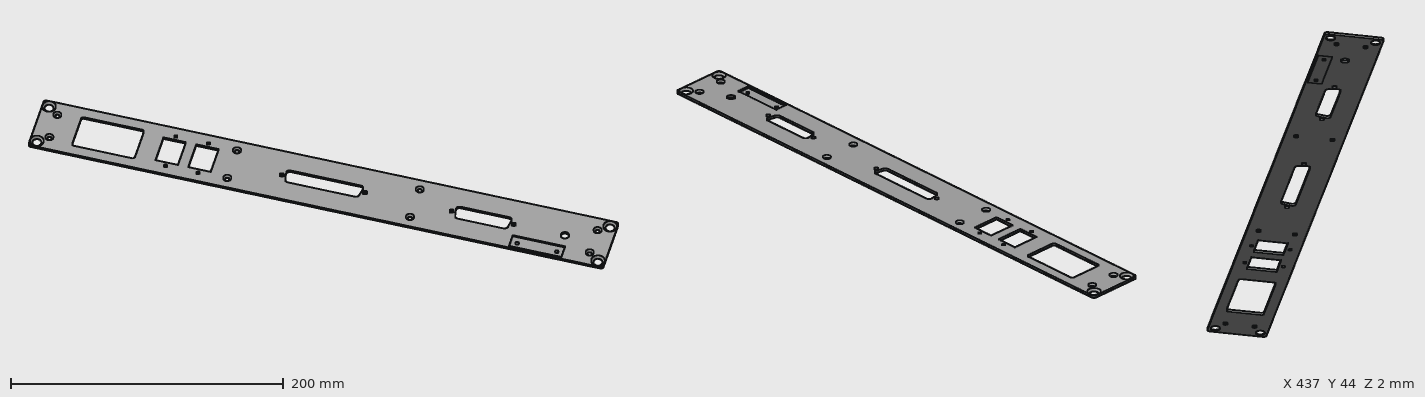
import cadquery as cq
import math

LENGTH = 437.0
WIDTH = 44.0
THICKNESS = 2.0
CORNER_RADIUS = 2.0

CORNER_SINK_DIAMETER = 10.0
CORNER_HOLE_DIAMETER = 6.5
CORNER_INSET = 5.2
CORNER_X = LENGTH / 2 - CORNER_INSET
CORNER_Y = WIDTH / 2 - CORNER_INSET

SCREW_SINK_DIAMETER = 6.0
SCREW_HOLE_DIAMETER = 3.2
END_SCREW_X = 205.5
END_SCREW_Y = 11.0
INNER_SCREW_X = 69.5
INNER_SCREW_Y = 13.5
SINK_ANGLE = 90.0

INLET_LENGTH = 47.5
INLET_WIDTH = 28.0
INLET_X = -164.0
INLET_CORNER_RADIUS = 1.7

SOCKET_LENGTH = 17.0
SOCKET_WIDTH = 22.5
SOCKET_CENTRES_X = (-116.2, -91.5)
SOCKET_SCREW_Y = 14.5
SMALL_HOLE_DIAMETER = 2.45

CONNECTOR_WIDTH = 11.5
CONNECTOR_SIDE_ANGLE = 10.0
CONNECTOR_CORNER_RADIUS = 2.5
CONNECTOR_SCREW_CLEARANCE = 4.0
LONG_CONNECTOR_X = 0.0
LONG_CONNECTOR_SCREW_SPACING = 63.5
SHORT_CONNECTOR_X = 121.0
SHORT_CONNECTOR_SCREW_SPACING = 47.0

LAMP_HOLE_DIAMETER = 6.0
LAMP_HOLE_X = 183.5

RECESS_LENGTH = 39.8
RECESS_WIDTH = 10.5
RECESS_DEPTH = 1.55
RECESS_X = 166.5
RECESS_Y = -15.5
RECESS_SCREW_SPACING = 30.0


def mirrored(x, y):
    """The four points that mirror (x, y) about both plan axes."""
    return [(sx * x, sy * y) for sx in (-1, 1) for sy in (-1, 1)]


def top_face(plate):
    """A work plane on the upper face with its origin over the plate centre."""
    return plate.faces(">Z").workplane(origin=(0, 0, THICKNESS))


def drill(plate, points, diameter):
    return top_face(plate).pushPoints(points).hole(diameter)


def countersink(plate, points, diameter, sink_diameter):
    return top_face(plate).pushPoints(points).cskHole(diameter, sink_diameter, SINK_ANGLE)


def cut_rectangle(plate, x, length, width, corner_radius=0.0):
    opening = cq.Workplane().center(x, 0).rect(length, width).extrude(THICKNESS)
    if corner_radius:
        opening = opening.edges("|Z").fillet(corner_radius)
    return plate.cut(opening)


def cut_connector(plate, x, screw_spacing):
    """A D-shaped opening, wider along its +Y side, and its two screw holes."""
    half_top = (screw_spacing - CONNECTOR_SCREW_CLEARANCE) / 2
    half_bottom = half_top - CONNECTOR_WIDTH * math.tan(math.radians(CONNECTOR_SIDE_ANGLE))
    half_width = CONNECTOR_WIDTH / 2
    outline = [
        (x - half_top, half_width),
        (x + half_top, half_width),
        (x + half_bottom, -half_width),
        (x - half_bottom, -half_width),
    ]
    opening = cq.Workplane().polyline(outline).close().extrude(THICKNESS)
    opening = opening.edges("|Z").fillet(CONNECTOR_CORNER_RADIUS)
    screws = [(x - screw_spacing / 2, 0), (x + screw_spacing / 2, 0)]
    return drill(plate.cut(opening), screws, SCREW_HOLE_DIAMETER)


plate = cq.Workplane().rect(LENGTH, WIDTH).extrude(THICKNESS)
plate = plate.edges("|Z").fillet(CORNER_RADIUS)

plate = countersink(plate, mirrored(CORNER_X, CORNER_Y), CORNER_HOLE_DIAMETER, CORNER_SINK_DIAMETER)
screw_points = mirrored(END_SCREW_X, END_SCREW_Y) + mirrored(INNER_SCREW_X, INNER_SCREW_Y)
plate = countersink(plate, screw_points, SCREW_HOLE_DIAMETER, SCREW_SINK_DIAMETER)

plate = cut_rectangle(plate, INLET_X, INLET_LENGTH, INLET_WIDTH, INLET_CORNER_RADIUS)
for socket_x in SOCKET_CENTRES_X:
    plate = cut_rectangle(plate, socket_x, SOCKET_LENGTH, SOCKET_WIDTH)
    socket_screws = [(socket_x, -SOCKET_SCREW_Y), (socket_x, SOCKET_SCREW_Y)]
    plate = drill(plate, socket_screws, SMALL_HOLE_DIAMETER)

plate = cut_connector(plate, LONG_CONNECTOR_X, LONG_CONNECTOR_SCREW_SPACING)
plate = cut_connector(plate, SHORT_CONNECTOR_X, SHORT_CONNECTOR_SCREW_SPACING)

plate = drill(plate, [(LAMP_HOLE_X, 0)], LAMP_HOLE_DIAMETER)

recess_screws = [(RECESS_X + side * RECESS_SCREW_SPACING / 2, RECESS_Y) for side in (-1, 1)]
plate = drill(plate, recess_screws, SMALL_HOLE_DIAMETER)
recess = (
    cq.Workplane(origin=(RECESS_X, RECESS_Y, THICKNESS - RECESS_DEPTH))
    .rect(RECESS_LENGTH, RECESS_WIDTH)
    .extrude(RECESS_DEPTH)
)
plate = plate.cut(recess)

result = plate